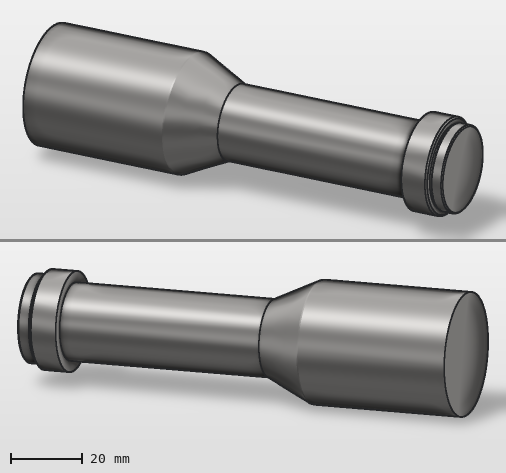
import cadquery as cq

total_length = 128.8
body_length = 43.8
cone_length = 13.8
collar_start = 116.8
collar_length = 7.9
groove_length = 0.8

body_diameter = 35.0
shaft_diameter = 22.0
collar_diameter = 28.3
groove_diameter = 24.5
tip_diameter = 25.2

shoulder_fillet = 1.0
collar_chamfer = 0.5
tip_chamfer = 0.4


def cylinder(start, end, diameter):
    """Solid cylinder along X between two stations."""
    return cq.Workplane("YZ").workplane(offset=start).circle(diameter / 2).extrude(end - start)


def make_body_and_shaft():
    """Thick body tapering through a cone to the slim shaft, turned about X."""
    cone_end = body_length + cone_length
    profile = (
        cq.Workplane("XY")
        .moveTo(0, 0)
        .lineTo(0, body_diameter / 2)
        .lineTo(body_length, body_diameter / 2)
        .lineTo(cone_end, shaft_diameter / 2)
        .lineTo(collar_start, shaft_diameter / 2)
        .lineTo(collar_start, 0)
        .close()
    )
    turned = profile.revolve(360, (0, 0, 0), (1, 0, 0))
    shoulder = cq.selectors.BoxSelector(
        (body_length - shoulder_fillet, -body_diameter, -body_diameter),
        (body_length + shoulder_fillet, body_diameter, body_diameter),
    )
    return turned.edges("%CIRCLE").edges(shoulder).fillet(shoulder_fillet)


collar_end = collar_start + collar_length
tip_start = collar_end + groove_length

collar = cylinder(collar_start, collar_end, collar_diameter).faces(">X").chamfer(collar_chamfer)
groove = cylinder(collar_end, tip_start, groove_diameter)
tip = cylinder(tip_start, total_length, tip_diameter).faces(">X").chamfer(tip_chamfer)

result = make_body_and_shaft().union(collar).union(groove).union(tip)